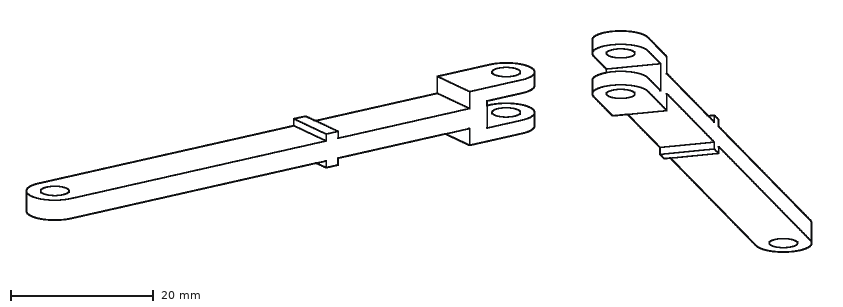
import cadquery as cq

length = 85.0
width = 8.0
end_radius = width / 2
hole_diameter = 4.0
bar_thickness = 3.0
fork_height = 8.0
fork_length = 13.0
slot_height = 4.0
slot_depth = 10.0
rib_width = 2.0
rib_height = 5.0
rib_from_fork_end = 36.5

fork_tip = length / 2


def cross_block(y_center, y_size, height):
    """Full-width block centred on the link's mid plane."""
    return cq.Workplane("XY").box(width, y_size, height).translate((0, y_center, 0))


bar = cross_block(0, length, bar_thickness)

fork = cross_block(fork_tip - fork_length / 2, fork_length, fork_height)
rib = cross_block(fork_tip - rib_from_fork_end, rib_width, rib_height)

slot = cross_block(fork_tip - slot_depth / 2, slot_depth, slot_height)
body = bar.union(fork).union(rib).cut(slot)

rounded_plan = cq.Workplane("XY").slot2D(length, width, 90).extrude(fork_height / 2, both=True)
body = body.intersect(rounded_plan)

pin_offset = length / 2 - end_radius
pins = (
    cq.Workplane("XY")
    .pushPoints([(0, -pin_offset), (0, pin_offset)])
    .circle(hole_diameter / 2)
    .extrude(fork_height / 2, both=True)
)

result = body.cut(pins)